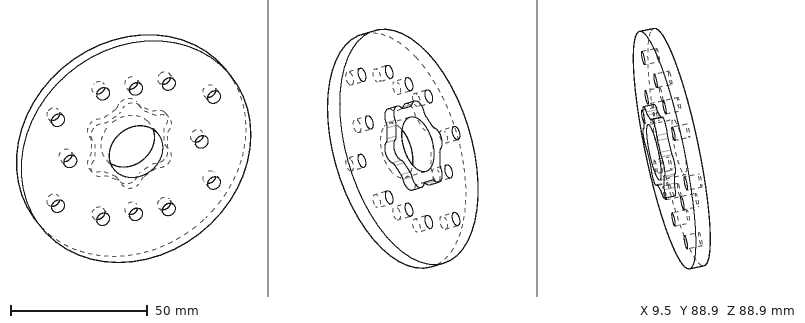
import cadquery as cq
import math

disc_diameter = 88.9
total_thickness = 9.5
hub_height = 4.0
disc_thickness = total_thickness - hub_height
bore_diameter = 20.7

hole_diameter = 5.0
hole_grid = 25.4
outer_hole_radius = 34.85
outer_hole_angle = 30.0

lobe_count = 6
hub_tip_radius = 17.29
lobe_radius = 4.2
flat_distance = 14.05
blend_radius = 2.9


def polar(radius, angle):
    """Point at a radius and an angle in degrees."""
    return (radius * math.cos(math.radians(angle)), radius * math.sin(math.radians(angle)))


def turned(point, angle):
    """Point turned about the hub axis by an angle in degrees."""
    return polar(math.hypot(*point), math.degrees(math.atan2(point[1], point[0])) + angle)


def toward(start, end, distance):
    """Point at a distance from start along the line to end."""
    fraction = distance / math.dist(start, end)
    return (start[0] + fraction * (end[0] - start[0]), start[1] + fraction * (end[1] - start[1]))


def hub_outline():
    """Closed outline with a flat facing +Y and a lobe pointing along +Z."""
    lobe_pitch = 360 / lobe_count
    lobe_angle = lobe_pitch / 2
    lobe_center = polar(hub_tip_radius - lobe_radius, lobe_angle)

    blend_y = flat_distance + blend_radius
    center_gap = blend_radius + lobe_radius
    flat_half_length = lobe_center[1] - math.sqrt(center_gap**2 - (blend_y - lobe_center[0])**2)
    blend_center = (blend_y, flat_half_length)

    flat_end = (flat_distance, flat_half_length)
    lobe_start = toward(blend_center, lobe_center, blend_radius)
    chord_middle = ((flat_end[0] + lobe_start[0]) / 2, (flat_end[1] + lobe_start[1]) / 2)
    blend_middle = toward(blend_center, chord_middle, blend_radius)
    lobe_tip = polar(hub_tip_radius, lobe_angle)

    def mirrored(point):
        """Point reflected across the centre line of the lobe."""
        return turned((point[0], -point[1]), 2 * lobe_angle)

    outline = cq.Workplane("YZ").moveTo(flat_distance, -flat_half_length)
    for index in range(lobe_count):
        turn = index * lobe_pitch
        outline = (
            outline.lineTo(*turned(flat_end, turn))
            .threePointArc(turned(blend_middle, turn), turned(lobe_start, turn))
            .threePointArc(turned(lobe_tip, turn), turned(mirrored(lobe_start), turn))
            .threePointArc(turned(mirrored(blend_middle), turn), turned(mirrored(flat_end), turn))
        )
    return outline.close()


def hole_positions():
    """Rows of three above and below, one at each side, and four outer holes."""
    points = [(-hole_grid, 0), (hole_grid, 0)]
    for side in (-1, 1):
        for step in (-0.5, 0, 0.5):
            points.append((step * hole_grid, side * hole_grid))
        for tilt in (-outer_hole_angle, outer_hole_angle):
            y, z = polar(outer_hole_radius, tilt)
            points.append((side * y, z))
    return points


disc = cq.Workplane("YZ").circle(disc_diameter / 2).extrude(disc_thickness)
hub = hub_outline().extrude(-hub_height)
bore = (
    cq.Workplane("YZ", origin=(-hub_height, 0, 0))
    .circle(bore_diameter / 2)
    .extrude(total_thickness)
)
holes = cq.Workplane("YZ").pushPoints(hole_positions()).circle(hole_diameter / 2).extrude(disc_thickness)

result = disc.union(hub).cut(bore).cut(holes)